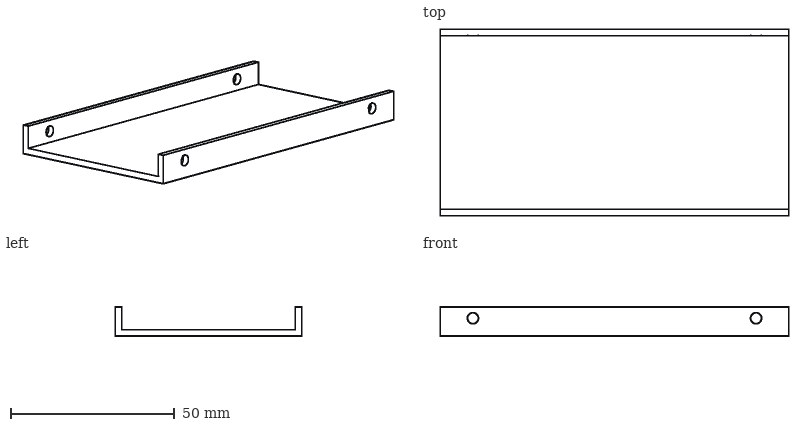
import cadquery as cq

length = 106.5
width = 57.0
height = 9.0
wall = 2.0

hole_diameter = 3.3
hole_end_distance = 10.0
hole_top_distance = 3.5
hole_spacing = length - 2 * hole_end_distance
hole_height = height - hole_top_distance


def make_channel():
    """Flat base with an upright flange along each long edge, open at both ends."""
    block = cq.Workplane("XY").box(length, width, height, centered=(True, True, False))
    interior = (
        cq.Workplane("XY")
        .workplane(offset=wall)
        .box(length, width - 2 * wall, height - wall, centered=(True, True, False))
    )
    return block.cut(interior)


def make_flange_holes():
    """Two cylinders along Y that cross both flanges."""
    return (
        cq.Workplane("XZ", origin=(0, 0, hole_height))
        .rarray(hole_spacing, 1, 2, 1)
        .circle(hole_diameter / 2)
        .extrude(width / 2, both=True)
    )


result = make_channel().cut(make_flange_holes())